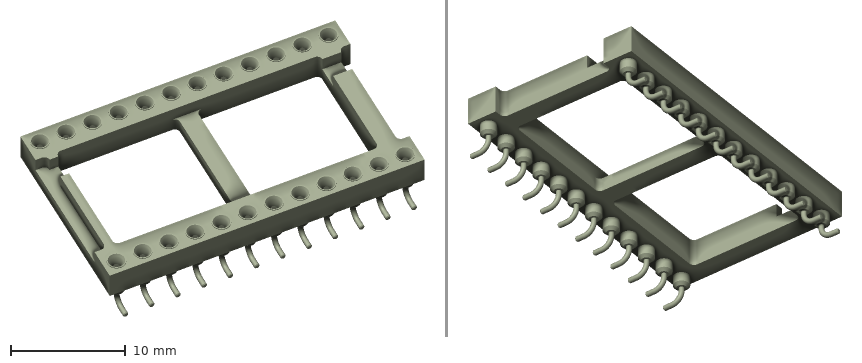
import cadquery as cq

BODY_LENGTH = 30.48
BODY_WIDTH = 17.78
BODY_HEIGHT = 2.70
LEDGE_HEIGHT = BODY_HEIGHT / 2
WINDOW_WIDTH = 11.76
CORNER_RADIUS = 0.50

END_RECESS = 1.12
REAR_BAR_WIDTH = 1.84
FRONT_WALL_WIDTH = 0.84
MIDDLE_BAR_WIDTH = 1.84
MIDDLE_BAR_Y = -0.58
NOTCH_WIDTH = 2.15

PITCH = 2.54
PINS_PER_ROW = 12
ROW_SPACING = 15.24
TOTAL_HEIGHT = 5.58
OVERALL_WIDTH = 19.04
RIM_DIAMETER = 1.72
RIM_HEIGHT = 0.08
FUNNEL_DIAMETER = 1.52
FUNNEL_FLOOR_DIAMETER = 0.51
FUNNEL_DEPTH = 0.76
SLEEVE_DIAMETER = 1.52
SLEEVE_DROP = 0.92
TAPER_LENGTH = 0.27
TAPER_END_DIAMETER = 0.95
LEAD_DIAMETER = 0.51
LEAD_BEND_RADIUS = 1.07
LEAD_TIP_CHAMFER = 0.08

TOP_Z = BODY_HEIGHT + RIM_HEIGHT
FOOT_Z = TOP_Z - TOTAL_HEIGHT + LEAD_DIAMETER / 2
TAPER_START_Z = -SLEEVE_DROP
TAPER_END_Z = TAPER_START_Z - TAPER_LENGTH
FOOT_REACH = (OVERALL_WIDTH - ROW_SPACING) / 2
REAR_BAR_OUTER_Y = BODY_LENGTH / 2 - END_RECESS
REAR_BAR_INNER_Y = REAR_BAR_OUTER_Y - REAR_BAR_WIDTH
FRONT_WALL_OUTER_Y = -BODY_LENGTH / 2 + END_RECESS
FRONT_WALL_INNER_Y = FRONT_WALL_OUTER_Y + FRONT_WALL_WIDTH
MIDDLE_BAR_REAR_Y = MIDDLE_BAR_Y + MIDDLE_BAR_WIDTH / 2
MIDDLE_BAR_FRONT_Y = MIDDLE_BAR_Y - MIDDLE_BAR_WIDTH / 2
NOTCH_START_X = -WINDOW_WIDTH / 2 + CORNER_RADIUS


def block(x_min, x_max, y_min, y_max, z_min, z_max=BODY_HEIGHT):
    """Box given by its limits along each axis."""
    corner = (x_min, y_min, z_min)
    return cq.Workplane("XY").box(x_max - x_min, y_max - y_min, z_max - z_min, centered=False).translate(corner)


def gap_between_rails(y_min, y_max, z_min=0.0):
    """Block as wide as the gap between the rails, reaching up to the body top."""
    return block(-WINDOW_WIDTH / 2, WINDOW_WIDTH / 2, y_min, y_max, z_min)


def rounded_gap(y_min, y_max, z_min=0.0):
    """Gap between the rails with rounded vertical corners."""
    return gap_between_rails(y_min, y_max, z_min).edges("|Z").fillet(CORNER_RADIUS)


def make_body():
    body = cq.Workplane("XY").box(BODY_WIDTH, BODY_LENGTH, BODY_HEIGHT, centered=(True, True, False))

    past_end = BODY_LENGTH / 2 + 2 * CORNER_RADIUS
    body = body.cut(rounded_gap(REAR_BAR_OUTER_Y, past_end))
    body = body.cut(rounded_gap(-past_end, FRONT_WALL_OUTER_Y, LEDGE_HEIGHT))

    body = body.cut(rounded_gap(MIDDLE_BAR_REAR_Y, REAR_BAR_INNER_Y))
    body = body.cut(rounded_gap(FRONT_WALL_INNER_Y, MIDDLE_BAR_FRONT_Y))

    lowered_from = MIDDLE_BAR_FRONT_Y - CORNER_RADIUS
    lowered_to = MIDDLE_BAR_REAR_Y + CORNER_RADIUS
    body = body.cut(gap_between_rails(lowered_from, lowered_to, LEDGE_HEIGHT))

    notch_end_x = NOTCH_START_X + NOTCH_WIDTH
    for y_min, y_max in (
        (REAR_BAR_INNER_Y, REAR_BAR_OUTER_Y),
        (FRONT_WALL_OUTER_Y, FRONT_WALL_INNER_Y),
    ):
        body = body.cut(block(NOTCH_START_X, notch_end_x, y_min, y_max, LEDGE_HEIGHT))
    return body


def make_sleeve():
    """Turned sleeve on the Z axis: raised rim, straight barrel and tapered lower end."""
    profile = [
        (0, TOP_Z),
        (RIM_DIAMETER / 2, TOP_Z),
        (RIM_DIAMETER / 2, LEDGE_HEIGHT),
        (SLEEVE_DIAMETER / 2, LEDGE_HEIGHT),
        (SLEEVE_DIAMETER / 2, TAPER_START_Z),
        (TAPER_END_DIAMETER / 2, TAPER_END_Z),
        (0, TAPER_END_Z),
    ]
    return cq.Workplane("XZ").polyline(profile).close().revolve(360, (0, 0), (0, 1))


def make_funnel():
    """Conical entry sunk into the top of a sleeve, with a small flat floor."""
    floor_z = TOP_Z - FUNNEL_DEPTH
    profile = [
        (0, TOP_Z),
        (FUNNEL_DIAMETER / 2, TOP_Z),
        (FUNNEL_FLOOR_DIAMETER / 2, floor_z),
        (0, floor_z),
    ]
    return cq.Workplane("XZ").polyline(profile).close().revolve(360, (0, 0), (0, 1))


def make_lead():
    """Round lead that drops from the sleeve, bends a quarter turn and ends in a foot along +X."""
    bend_start_z = FOOT_Z + LEAD_BEND_RADIUS
    drop = (
        cq.Workplane("XY", origin=(0, 0, bend_start_z))
        .circle(LEAD_DIAMETER / 2)
        .extrude(TAPER_START_Z - bend_start_z)
    )
    bend = (
        cq.Workplane("XY", origin=(0, 0, bend_start_z))
        .circle(LEAD_DIAMETER / 2)
        .revolve(90, (LEAD_BEND_RADIUS, 0), (LEAD_BEND_RADIUS, -1))
    )
    foot = (
        cq.Workplane("YZ", origin=(LEAD_BEND_RADIUS, 0, FOOT_Z))
        .circle(LEAD_DIAMETER / 2)
        .extrude(FOOT_REACH - LEAD_BEND_RADIUS)
        .faces(">X")
        .chamfer(LEAD_TIP_CHAMFER)
    )
    return drop.union(bend).union(foot)


def make_part():
    right_contact = make_sleeve().union(make_lead()).translate((ROW_SPACING / 2, 0, 0)).val()
    left_contact = right_contact.mirror("YZ")
    funnel = make_funnel().val()
    contacts = []
    funnels = []
    for index in range(PINS_PER_ROW):
        y = (index - (PINS_PER_ROW - 1) / 2) * PITCH
        contacts += [right_contact.translate((0, y, 0)), left_contact.translate((0, y, 0))]
        funnels += [funnel.translate((side * ROW_SPACING / 2, y, 0)) for side in (-1, 1)]
    solid = make_body().val().fuse(*contacts).cut(*funnels)
    return cq.Workplane("XY").newObject(solid.Solids())


result = make_part()